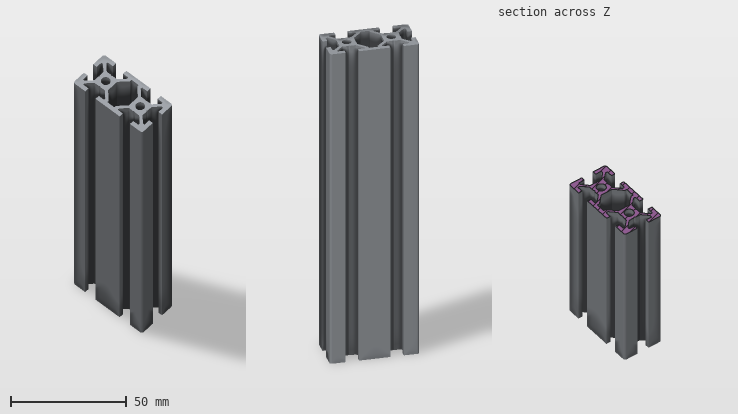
import cadquery as cq

LENGTH = 150.0
CELL_SIDES_IN_LENGTH = 7.5
DEPTH = LENGTH / CELL_SIDES_IN_LENGTH
WIDTH = 2 * DEPTH
CELL_X = DEPTH / 2
OUTER_RADIUS = 1.0

SLOT_OPENING = 6.0
LIP_THICKNESS = 2.1
SLOT_INNER_WIDTH = 12.0

CORE_SIDE = 8.0
BORE_DIAMETER = 4.2
WEB_THICKNESS = 1.42

GROOVE_WIDTH = 1.0
GROOVE_DEPTH = 0.3

CAVITY_FLAT = 4.2

HALF_CELL = DEPTH / 2
LIP_INNER = HALF_CELL - LIP_THICKNESS
HALF_CORE = CORE_SIDE / 2
WEB_OFFSET = WEB_THICKNESS / 2**0.5


def prism(points):
    """Extrude a closed outline over the full length."""
    return cq.Workplane("XY").polyline(points).close().extrude(LENGTH)


def slot_cutter(cell_x, angle):
    """T-slot with a grooved floor, opening to +Y before it is turned about its cell centre."""
    half_side = [
        (GROOVE_WIDTH / 2, HALF_CORE),
        (HALF_CORE - WEB_OFFSET, HALF_CORE),
        (SLOT_INNER_WIDTH / 2, SLOT_INNER_WIDTH / 2 + WEB_OFFSET),
        (SLOT_INNER_WIDTH / 2, LIP_INNER),
        (SLOT_OPENING / 2, LIP_INNER),
        (SLOT_OPENING / 2, HALF_CELL),
    ]
    mirrored = [(-x, y) for x, y in reversed(half_side)]
    groove_tip = (0, HALF_CORE - GROOVE_DEPTH)
    cutter = prism([groove_tip] + half_side + mirrored)
    return cutter.rotate((0, 0, 0), (0, 0, 1), angle).translate((cell_x, 0, 0))


def cavity_cutter():
    """Cavity between the cores, bounded by webs, cores and the middle lips."""
    core_face = CELL_X - HALF_CORE
    core_corner = HALF_CORE - WEB_OFFSET
    flat = CAVITY_FLAT / 2
    web_end = CELL_X - flat - WEB_OFFSET
    quarter = [(core_face, core_corner), (flat, web_end), (flat, LIP_INNER)]
    upper = quarter + [(-x, y) for x, y in reversed(quarter)]
    lower = [(-x, -y) for x, y in upper]
    return prism(upper + lower)


result = cq.Workplane("XY").rect(WIDTH, DEPTH).extrude(LENGTH).edges("|Z").fillet(OUTER_RADIUS)

for cell_x, end_angle in ((-CELL_X, 90), (CELL_X, -90)):
    for angle in (0, 180, end_angle):
        result = result.cut(slot_cutter(cell_x, angle))
    bore = cq.Workplane("XY").center(cell_x, 0).circle(BORE_DIAMETER / 2).extrude(LENGTH)
    result = result.cut(bore)

result = result.cut(cavity_cutter())